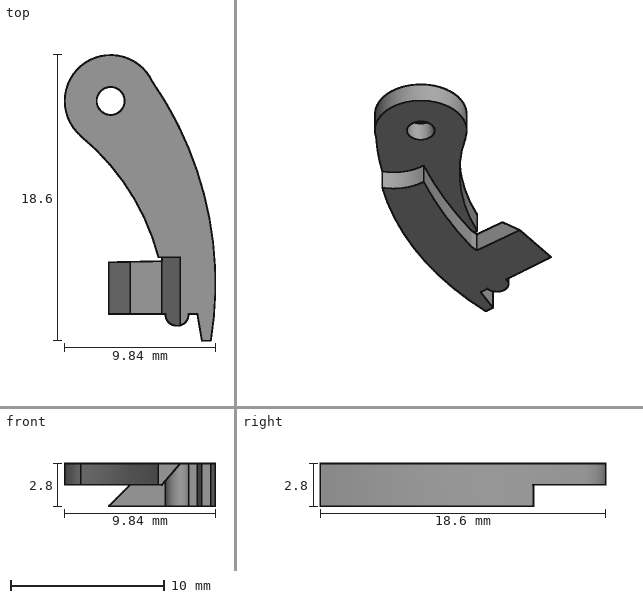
import cadquery as cq
import math

length = 18.63
height = 2.8
plate_thickness = 1.4
shelf_z = height - plate_thickness
right_side = 9.84

head_radius = 3.0
pivot_x = head_radius
pivot_y = length - head_radius
pivot_hole_diameter = 1.8

outer_radius = 23.1
outer_centre_x = right_side - outer_radius
outer_centre_y = 3.73
outer_top_y = 16.95

inner_start = (1.05, 13.34)
inner_middle = (3.47, 10.85)
inner_end = (6.11, 5.44)

body_top_y = 13.92
body_inner_start = (4.95, 12.75)
body_inner_middle = (5.75, 9.8)
body_inner_end = (6.39, 5.72)
relief_middle = (6.35, 13.05)

hook_bottom_y = 1.73
hook_top_y = 5.2
catch_tip_x = 2.87
catch_tip_top_y = 5.12
ramp_foot_x = 6.33
ramp_run = 1.21
knob_x = 7.32
knob_radius = 0.76
notch_right_x = 8.65
finger_left_x = 8.95


def outer_point(y):
    """Point of the outer arc at the given Y."""
    rise = y - outer_centre_y
    return (outer_centre_x + math.sqrt(outer_radius**2 - rise**2), y)


def outer_arc(sketch, start_y, end_y):
    """Continue an outline along the outer arc from start_y to end_y."""
    return sketch.threePointArc(outer_point((start_y + end_y) / 2), outer_point(end_y))


def close_hook_end(sketch):
    """Carry an outline from the finger tip past the notch to the hook and close it."""
    return (
        sketch.lineTo(finger_left_x, 0)
        .lineTo(notch_right_x, hook_bottom_y)
        .lineTo(ramp_foot_x, hook_bottom_y)
        .close()
    )


def make_plate():
    """Upper layer: curved arm with the round pivot head."""
    sketch = (
        cq.Workplane("XY", origin=(0, 0, shelf_z))
        .moveTo(ramp_foot_x, inner_end[1])
        .lineTo(*inner_end)
        .threePointArc(inner_middle, inner_start)
        .lineTo(pivot_x, pivot_y)
        .lineTo(*outer_point(outer_top_y))
    )
    arm = close_hook_end(outer_arc(sketch, outer_top_y, 0)).extrude(plate_thickness)
    head = (
        cq.Workplane("XY", origin=(0, 0, shelf_z))
        .center(pivot_x, pivot_y)
        .circle(head_radius)
        .extrude(plate_thickness)
    )
    return arm.union(head)


def make_lower_body():
    """Lower layer: thickens the outer part of the arm and stops short of the head."""
    sketch = (
        cq.Workplane("XY")
        .moveTo(ramp_foot_x, hook_top_y)
        .lineTo(*body_inner_end)
        .threePointArc(body_inner_middle, body_inner_start)
        .threePointArc(relief_middle, outer_point(body_top_y))
    )
    return close_hook_end(outer_arc(sketch, body_top_y, 0)).extrude(shelf_z)


def make_catch():
    """Low catch reaching left, with a 45 degree slope at its tip."""
    block = (
        cq.Workplane("XY")
        .moveTo(catch_tip_x, hook_bottom_y)
        .lineTo(knob_x, hook_bottom_y)
        .lineTo(knob_x, hook_top_y)
        .lineTo(ramp_foot_x, hook_top_y)
        .lineTo(catch_tip_x, catch_tip_top_y)
        .close()
        .extrude(shelf_z)
    )
    tip_slope = (
        cq.Workplane("XZ")
        .moveTo(catch_tip_x, 0)
        .lineTo(catch_tip_x, shelf_z)
        .lineTo(catch_tip_x + shelf_z, shelf_z)
        .close()
        .extrude(-inner_end[1])
    )
    return block.cut(tip_slope)


def make_knob():
    """Round full-height knob on the lower edge of the hook."""
    return cq.Workplane("XY").center(knob_x, hook_bottom_y).circle(knob_radius).extrude(height)


def make_ramp_cutter():
    """Clears the plate above the catch, leaving a steep ramp."""
    return (
        cq.Workplane("XZ")
        .moveTo(catch_tip_x, shelf_z)
        .lineTo(ramp_foot_x, shelf_z)
        .lineTo(ramp_foot_x + ramp_run, height)
        .lineTo(catch_tip_x, height)
        .close()
        .extrude(-inner_end[1])
    )


pivot_hole = cq.Workplane("XY").center(pivot_x, pivot_y).circle(pivot_hole_diameter / 2).extrude(height)

result = (
    make_plate()
    .union(make_lower_body())
    .union(make_catch())
    .union(make_knob())
    .cut(make_ramp_cutter())
    .cut(pivot_hole)
)